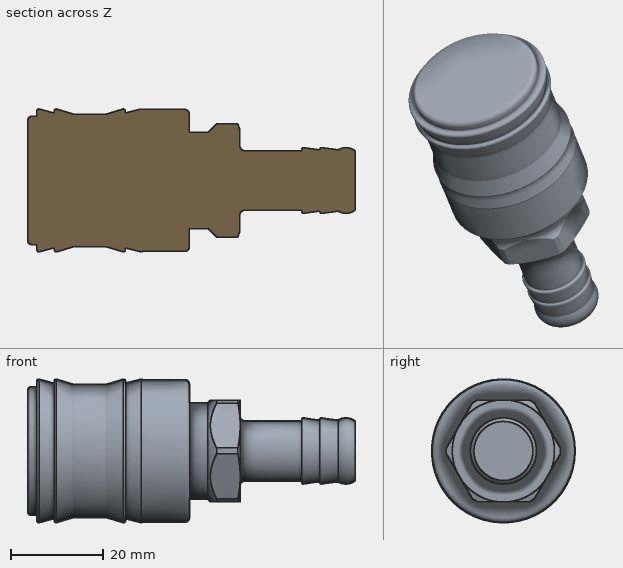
import cadquery as cq
import math


total_length = 71.2
collar_start = 2.0
groove_start, groove_end = 5.6, 5.8
waist_start, waist_end = 9.9, 17.2
rear_groove_start = 21.3
shoulder_crest = 24.65
shoulder_end = 25.1
sleeve_end = 35.2
hex_start, hex_end = 39.2, 46.15
barb_1_start = 59.55
barb_1_end = 63.3
barb_2_start = 63.5
barb_2_end = 67.5

nose_diameter = 28.0
crest_diameter = 31.2
groove_diameter = 29.5
waist_diameter = 29.0
sleeve_diameter = 31.0
neck_diameter = 21.0

hex_sides = 6
hex_across_flats = 22.1
hex_corner_diameter = 24.8
front_chamfer_angle = 45
rear_chamfer_angle = 20
rear_face_diameter = 22.2

tail_diameter = 13.1
barb_crest_diameter = 14.4
barb_root_diameter = 13.45
bead_crest = 69.2
end_face_diameter = 12.8

nose_round = 0.9
crest_round = 0.5
sleeve_round = 1.1
tail_fillet = 1.0
barb_1_round = 0.35
barb_2_round = 0.4


def rise(profile, x, crest_radius, round_radius):
    """Step straight up at x, then round over onto the crest."""
    middle = round_radius * (1 - math.sqrt(0.5))
    profile = profile.lineTo(x, crest_radius - round_radius)
    return profile.threePointArc((x + middle, crest_radius - middle), (x + round_radius, crest_radius))


def drop(profile, x, crest_radius, round_radius):
    """Run to the crest just before x, then round over until facing +X."""
    middle = round_radius * (1 - math.sqrt(0.5))
    profile = profile.lineTo(x - round_radius, crest_radius)
    return profile.threePointArc((x - middle, crest_radius - middle), (x, crest_radius - round_radius))


def revolve_about_x(profile):
    return profile.close().revolve(360, (0, 0, 0), (1, 0, 0))


def make_sleeve():
    crest = crest_diameter / 2
    groove = groove_diameter / 2
    waist = waist_diameter / 2
    nose = nose_diameter / 2
    sleeve = sleeve_diameter / 2
    profile = cq.Workplane("XY").moveTo(0, 0)
    profile = rise(profile, 0, nose, nose_round)
    profile = profile.lineTo(collar_start, nose)
    profile = rise(profile, collar_start, crest, crest_round)
    profile = profile.lineTo(groove_start, groove).lineTo(groove_end, groove)
    profile = rise(profile, groove_end, crest, crest_round)
    profile = profile.lineTo(waist_start, waist).lineTo(waist_end, waist)
    profile = drop(profile, rear_groove_start, crest, crest_round)
    profile = profile.lineTo(rear_groove_start, groove)
    profile = profile.lineTo(shoulder_crest, crest).lineTo(shoulder_end, sleeve)
    profile = drop(profile, sleeve_end, sleeve, sleeve_round)
    return revolve_about_x(profile.lineTo(sleeve_end, 0))


def make_neck():
    neck_length = hex_start - sleeve_end
    return cq.Workplane("YZ", origin=(sleeve_end, 0, 0)).circle(neck_diameter / 2).extrude(neck_length)


def make_hex_nut():
    """Hexagon with flats facing +Z and -Z, its corners turned down and both ends chamfered."""
    hex_circumdiameter = hex_across_flats / math.cos(math.pi / hex_sides)
    prism = (
        cq.Workplane("YZ", origin=(hex_start, 0, 0))
        .polygon(hex_sides, hex_circumdiameter)
        .extrude(hex_end - hex_start)
    )
    corner = hex_corner_diameter / 2
    front_face = neck_diameter / 2
    rear_face = rear_face_diameter / 2
    front_chamfer = (corner - front_face) * math.tan(math.radians(front_chamfer_angle))
    rear_chamfer = (corner - rear_face) * math.tan(math.radians(rear_chamfer_angle))
    envelope = (
        cq.Workplane("XY")
        .moveTo(hex_start, 0)
        .lineTo(hex_start, front_face)
        .lineTo(hex_start + front_chamfer, corner)
        .lineTo(hex_end - rear_chamfer, corner)
        .lineTo(hex_end, rear_face)
        .lineTo(hex_end, 0)
    )
    return prism.intersect(revolve_about_x(envelope))


def make_hose_tail():
    tail = tail_diameter / 2
    crest = barb_crest_diameter / 2
    root = barb_root_diameter / 2
    fillet_middle = tail_fillet * (1 - math.sqrt(0.5))
    profile = (
        cq.Workplane("XY")
        .moveTo(hex_end, 0)
        .lineTo(hex_end, tail + tail_fillet)
        .threePointArc((hex_end + fillet_middle, tail + fillet_middle), (hex_end + tail_fillet, tail))
        .lineTo(barb_1_start, tail)
    )
    profile = rise(profile, barb_1_start, crest, barb_1_round)
    profile = profile.lineTo(barb_1_end, root).lineTo(barb_2_start, root)
    profile = rise(profile, barb_2_start, crest, barb_2_round)
    profile = profile.lineTo(barb_2_end, root)
    profile = profile.threePointArc((bead_crest, crest), (total_length, end_face_diameter / 2))
    return revolve_about_x(profile.lineTo(total_length, 0))


result = make_sleeve().union(make_neck()).union(make_hex_nut()).union(make_hose_tail())